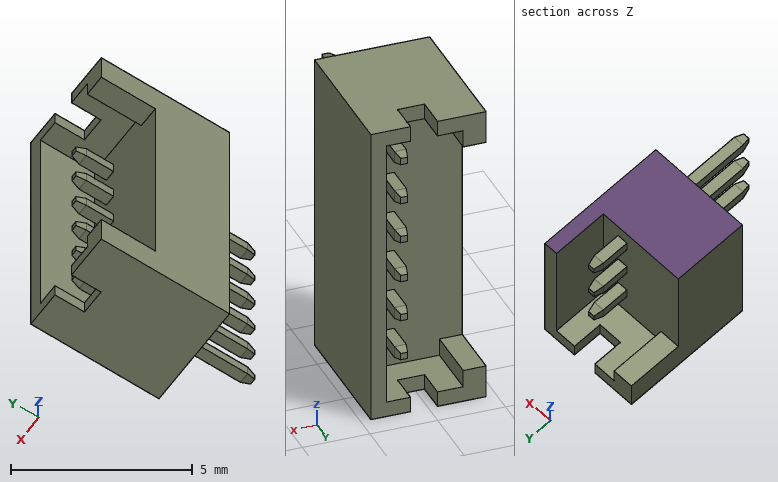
import cadquery as cq

housing_width = 3.4
housing_depth = 4.3
housing_length = 9.15

cavity_depth = 1.81
thin_wall = 0.47
thick_wall = 0.68

window_margin = 0.99

notch_width = 0.8
notch_depth = 0.99
notch_start = 1.44

pin_count = 6
pin_row_span = 6.26
pin_pitch = pin_row_span / (pin_count - 1)
pin_x = 2.19
pin_size = 0.35
tip_size = 0.2
tip_length = 0.29
tail_length = 2.3
pin_setback = 0.6


def make_box(x_start, x_end, y_start, y_end, length):
    """Box between the given X and Y limits, centred on Z = 0."""
    return (
        cq.Workplane("XY")
        .box(x_end - x_start, y_end - y_start, length, centered=(False, False, True))
        .translate((x_start, y_start, 0))
    )


def make_housing():
    """Block with the mating cavity, side window and keying notches removed."""
    cavity_floor = housing_depth - cavity_depth
    block = make_box(0, housing_width, 0, housing_depth, housing_length)
    cavity = make_box(
        thick_wall, housing_width - thin_wall,
        cavity_floor, housing_depth,
        housing_length - 2 * thin_wall,
    )
    window = make_box(
        0, thick_wall,
        cavity_floor, housing_depth,
        housing_length - 2 * window_margin,
    )
    notches = make_box(
        notch_start, notch_start + notch_width,
        housing_depth - notch_depth, housing_depth,
        housing_length,
    )
    return block.cut(cavity).cut(window).cut(notches)


def make_pin():
    """Square pin along Y, tapered at both ends, in its place at Z = 0."""
    tail_end = -tail_length
    mating_end = housing_depth - pin_setback
    shank_start = tail_end + tip_length
    shank_end = mating_end - tip_length

    def make_tip(y_base, y_end):
        base = cq.Workplane("XZ", origin=(pin_x, y_base, 0)).rect(pin_size, pin_size)
        return base.workplane(offset=y_base - y_end).rect(tip_size, tip_size).loft()

    shank = make_box(
        pin_x - pin_size / 2, pin_x + pin_size / 2,
        shank_start, shank_end,
        pin_size,
    )
    return shank.union(make_tip(shank_start, tail_end)).union(make_tip(shank_end, mating_end))


result = make_housing()
pin = make_pin()
for index in range(pin_count):
    pin_z = index * pin_pitch - pin_row_span / 2
    result = result.union(pin.translate((0, 0, pin_z)))